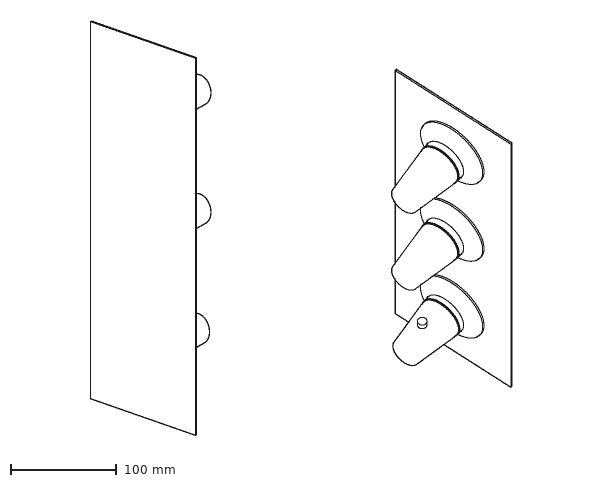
import cadquery as cq
import math

plate_width = 140.0
plate_height = 380.0
plate_thickness = 2.0

knob_spacing = 120.0
knob_reach = 77.5
lower_knob_reach = 75.5

flange_radius = 37.5
flange_top = 3.8
collar_radius = 22.5
collar_bottom = 13.5
collar_top = 20.5
lower_collar_top = 19.5
groove_width = 1.0
groove_depth = 0.8
tip_radius = 15.0
tip_fillet = 2.5

button_radius = 4.5
button_height = 48.3
button_reach = 23.5


def make_plate():
    return cq.Workplane("XY").box(
        plate_width, plate_thickness, plate_height, centered=(True, False, True)
    )


def make_knob(reach, shoulder):
    """Knob turned about Y: flange, concave flare, collar, groove and tapered handle with a rounded tip."""
    flare_width = flange_radius - collar_radius
    flare_height = collar_bottom - flange_top
    flare_radius = (flare_width**2 + flare_height**2) / (2 * flare_height)
    half_angle = math.asin(flare_width / flare_radius) / 2
    flare_middle = (
        flange_radius - flare_radius * math.sin(half_angle),
        flange_top + flare_radius * (1 - math.cos(half_angle)),
    )
    groove_radius = collar_radius - groove_depth
    handle_bottom = shoulder + groove_width
    profile = (
        cq.Workplane("XY")
        .lineTo(flange_radius, 0)
        .lineTo(flange_radius, flange_top)
        .threePointArc(flare_middle, (collar_radius, collar_bottom))
        .lineTo(collar_radius, shoulder)
        .lineTo(groove_radius, shoulder)
        .lineTo(groove_radius, handle_bottom)
        .lineTo(collar_radius, handle_bottom)
        .lineTo(tip_radius, reach)
        .lineTo(0, reach)
        .close()
    )
    knob = profile.revolve(360, (0, 0, 0), (0, 1, 0))
    return knob.faces(">Y").edges().fillet(tip_fillet)


def make_button():
    """Round button standing up in Z from the knob axis."""
    return cq.Workplane("XY").center(0, button_height).circle(button_radius).extrude(button_reach)


upper_knob = make_knob(knob_reach, collar_top)
lower_knob = make_knob(lower_knob_reach, lower_collar_top).union(make_button())

result = make_plate()
for height in (0, knob_spacing):
    result = result.union(upper_knob.translate((0, 0, height)))
result = result.union(lower_knob.translate((0, 0, -knob_spacing)))